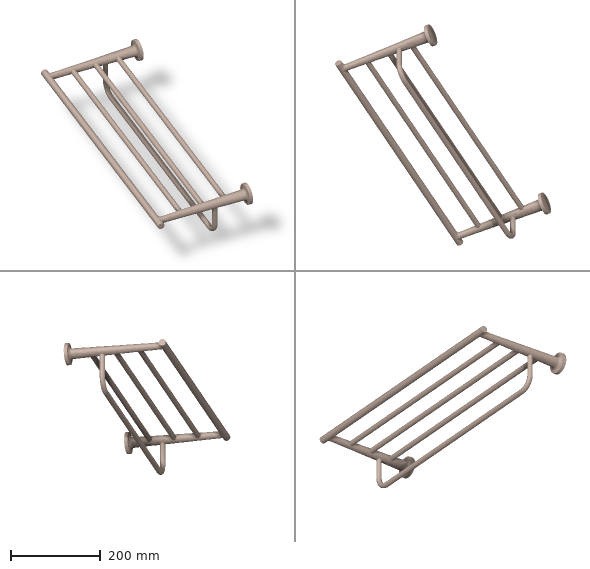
import cadquery as cq


overall_depth = 232.5
overall_height = 117.41
arm_spacing = 560.0

flange_diameter = 49.4
flange_rim = 8.0
flange_apex = 11.0
flange_fillet = 6.0

arm_root_width = 29.0
arm_root_height = 23.8
arm_middle_diameter = 17.8
arm_middle_y = -155.0
arm_tip_diameter = 15.6

front_rail_diameter = 16.0
front_rail_length = 600.0
tip_fillet = 5.0

rod_diameter = 12.0
rod_count = 3
rod_pitch = 55.0
rod_insertion = 5.0
leg_insertion = 6.0
bend_radius = 30.0

edge_margin = 1.0

arm_x = arm_spacing / 2
flange_radius = flange_diameter / 2
rod_radius = rod_diameter / 2
front_rail_radius = front_rail_diameter / 2
front_rail_y = front_rail_radius - overall_depth
rail_end_length = front_rail_length - arm_spacing
rail_middle_length = front_rail_length - 2 * rail_end_length
rod_length = arm_spacing + 2 * rod_insertion
lower_rail_y = -1.5 * rod_pitch
lower_rail_z = flange_radius - overall_height + rod_radius
bend_top_z = lower_rail_z + bend_radius
bend_inner_x = arm_x - bend_radius


def bar_along_x(diameter, length, y):
    """Round bar parallel to X, centred on X = 0 at height Z = 0."""
    return cq.Workplane("YZ", origin=(-length / 2, y, 0)).circle(diameter / 2).extrude(length)


def fillet_edges_between(body, near_y, far_y, reach, radius):
    """Fillet the edges that lie between two Y planes and within reach of the Y axis."""
    box = cq.selectors.BoxSelector((-reach, far_y, -reach), (reach, near_y, reach))
    return body.edges(box).fillet(radius)


def make_flange():
    """Wall disc with a slightly conical front face."""
    profile = [
        (0, 0),
        (flange_radius, 0),
        (flange_radius, -flange_rim),
        (0, -flange_apex),
    ]
    return cq.Workplane("XY").polyline(profile).close().revolve(360, (0, 0, 0), (0, 1, 0))


def make_taper():
    """Arm that narrows smoothly from its elliptical root to its round tip on the front rail axis."""
    return (
        cq.Workplane("XZ")
        .ellipse(arm_root_width / 2, arm_root_height / 2)
        .workplane(offset=-arm_middle_y)
        .circle(arm_middle_diameter / 2)
        .workplane(offset=arm_middle_y - front_rail_y)
        .circle(arm_tip_diameter / 2)
        .loft()
    )


def make_arm():
    """Flange, taper and the front rail end that crosses the tip, on the Y axis with both joints blended."""
    arm = make_flange().union(make_taper())
    root_reach = arm_root_width / 2 + edge_margin
    arm = fillet_edges_between(arm, -flange_rim, -flange_apex, root_reach, flange_fillet)

    arm = arm.union(bar_along_x(front_rail_diameter, rail_end_length, front_rail_y))
    rail_back = front_rail_y + front_rail_radius + edge_margin
    rail_reach = front_rail_radius + edge_margin
    return fillet_edges_between(arm, rail_back, front_rail_y - edge_margin, rail_reach, tip_fillet)


def make_frame():
    """Both arms joined by the middle stretch of the front rail."""
    arm = make_arm()
    frame = bar_along_x(front_rail_diameter, rail_middle_length, front_rail_y)
    for x in (-arm_x, arm_x):
        frame = frame.union(arm.translate((x, 0, 0)))
    return frame


def make_lower_rail():
    """U-shaped rail that hangs below the arms, with each leg ending inside an arm."""
    path = (
        cq.Workplane("XZ", origin=(0, lower_rail_y, 0))
        .moveTo(-arm_x, leg_insertion)
        .lineTo(-arm_x, bend_top_z)
        .radiusArc((-bend_inner_x, lower_rail_z), -bend_radius)
        .lineTo(bend_inner_x, lower_rail_z)
        .radiusArc((arm_x, bend_top_z), -bend_radius)
        .lineTo(arm_x, leg_insertion)
    )
    leg_end = cq.Workplane("XY", origin=(-arm_x, lower_rail_y, leg_insertion))
    return leg_end.circle(rod_radius).sweep(path)


def make_shelf_rod(y):
    """Straight rod between the arms, with both ends sunk into them."""
    return bar_along_x(rod_diameter, rod_length, y)


shelf_rods = [make_shelf_rod(-rod_pitch * (index + 1)) for index in range(rod_count)]
lower_rail = make_lower_rail()

frame = make_frame()
for inserted in [lower_rail, *shelf_rods]:
    frame = frame.cut(inserted)

result = cq.Compound.makeCompound([
    frame.val(),
    lower_rail.val(),
    *[rod.val() for rod in shelf_rods],
])